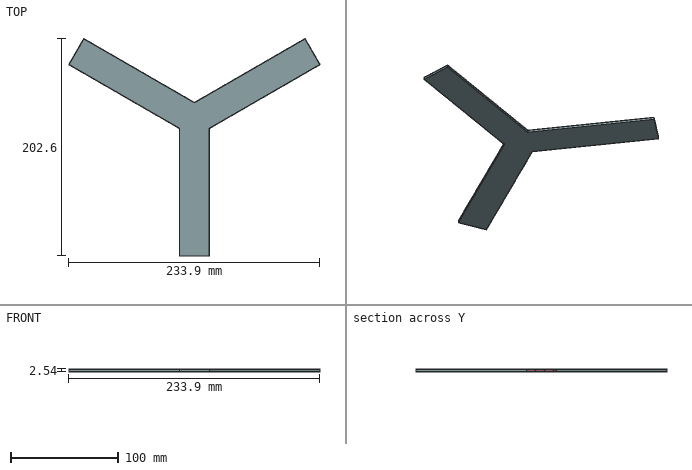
import cadquery as cq

arm_length = 127.0
arm_width = 27.94
thickness = 2.54
arm_count = 3
first_arm_angle = -90.0
arm_spacing = 360.0 / arm_count


def arm(angle):
    """Rectangular arm running from the plate centre outward at the given angle."""
    bar = cq.Workplane("XY").box(arm_length, arm_width, thickness, centered=(False, True, False))
    return bar.rotate((0, 0, 0), (0, 0, 1), angle)


plate = arm(first_arm_angle)
for index in range(1, arm_count):
    plate = plate.union(arm(first_arm_angle + index * arm_spacing))

result = plate.clean()